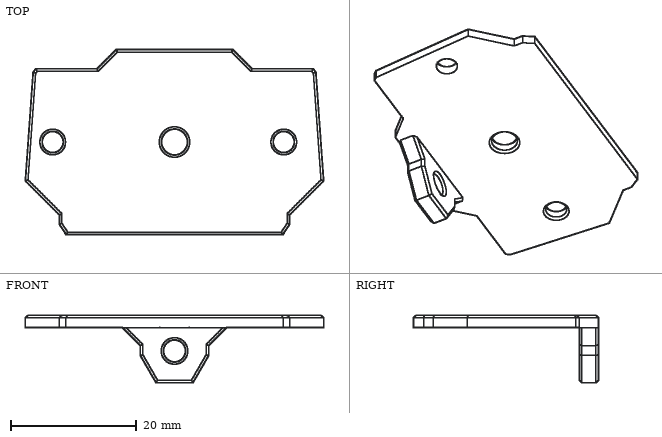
import cadquery as cq

plate_length = 47.75
plate_depth = 29.65
plate_thickness = 2.0
edge_chamfer = 0.45

half_length = plate_length / 2
back_y = plate_depth / 2
front_y = -plate_depth / 2

back_half_width = 9.3
shoulder_drop = 3.1
shoulder_y = back_y - shoulder_drop
shoulder_inner_x = back_half_width + shoulder_drop

shoulder_outer_x = 22.15
side_top_x = 22.65
side_top_y = 11.18

widest_y = -6.2
step_x = 18.45
step_top_y = widest_y - (half_length - step_x)
step_bottom_y = -13.2
front_bevel_x = 17.6
front_bevel_y = -14.38
front_half_width = 17.4

center_hole_diameter = 4.1
side_hole_diameter = 3.35
side_hole_spacing = 36.95
side_hole_shift = -1.0
hole_chamfer = 0.4

total_height = 10.85
tab_root_half_width = 8.35
tab_waist_half_width = 5.5
tab_tip_half_width = 2.95
tab_waist_bottom_z = -6.45
tab_embed = 0.7
tab_hole_diameter = 3.5
tab_hole_z = -5.75

tab_waist_top_z = -plate_thickness - (tab_root_half_width - tab_waist_half_width)


def mirrored_outline(workplane, right_side):
    """Close an outline from its right-hand points and their mirror images."""
    left_side = [(-x, y) for x, y in reversed(right_side)]
    return workplane.polyline(right_side + left_side).close()


def make_plate():
    right_side = [
        (back_half_width, back_y),
        (shoulder_inner_x, shoulder_y),
        (shoulder_outer_x, shoulder_y),
        (side_top_x, side_top_y),
        (half_length, widest_y),
        (step_x, step_top_y),
        (step_x, step_bottom_y),
        (front_bevel_x, front_bevel_y),
        (front_half_width, front_y),
    ]
    base = cq.Workplane("XY").workplane(offset=-plate_thickness)
    plate = mirrored_outline(base, right_side).extrude(plate_thickness)
    return plate.faces(">Z").chamfer(edge_chamfer)


def make_tab():
    right_side = [
        (tab_root_half_width + tab_embed, -plate_thickness + tab_embed),
        (tab_waist_half_width, tab_waist_top_z),
        (tab_waist_half_width, tab_waist_bottom_z),
        (tab_tip_half_width, -total_height),
    ]
    base = cq.Workplane("XZ", origin=(0, back_y, 0))
    tab = mirrored_outline(base, right_side).extrude(shoulder_drop)
    return tab.faces("<Y or >Y").chamfer(edge_chamfer)


def chamfered_hole(diameter, depth, far_chamfer):
    """Cutter along -Z from Z = 0, with a chamfer at the mouth and far_chamfer at the far end."""
    radius = diameter / 2
    mouth_radius = radius + hole_chamfer
    profile = [(0, 0), (mouth_radius, 0), (radius, -hole_chamfer)]
    if far_chamfer > 0:
        profile.append((radius, -depth + far_chamfer))
    profile += [(radius + far_chamfer, -depth), (0, -depth)]
    return cq.Workplane("XZ").polyline(profile).close().revolve(360, (0, 0), (0, 1))


result = make_plate().union(make_tab())

for hole_x, hole_diameter, bottom_chamfer in [
    (side_hole_shift - side_hole_spacing / 2, side_hole_diameter, 0),
    (0, center_hole_diameter, hole_chamfer),
    (side_hole_shift + side_hole_spacing / 2, side_hole_diameter, hole_chamfer),
]:
    cutter = chamfered_hole(hole_diameter, plate_thickness, bottom_chamfer)
    result = result.cut(cutter.translate((hole_x, 0, 0)))

tab_cutter = chamfered_hole(tab_hole_diameter, shoulder_drop, hole_chamfer)
tab_cutter = tab_cutter.rotate((0, 0, 0), (1, 0, 0), -90)
tab_cutter = tab_cutter.translate((0, back_y, tab_hole_z))
result = result.cut(tab_cutter)